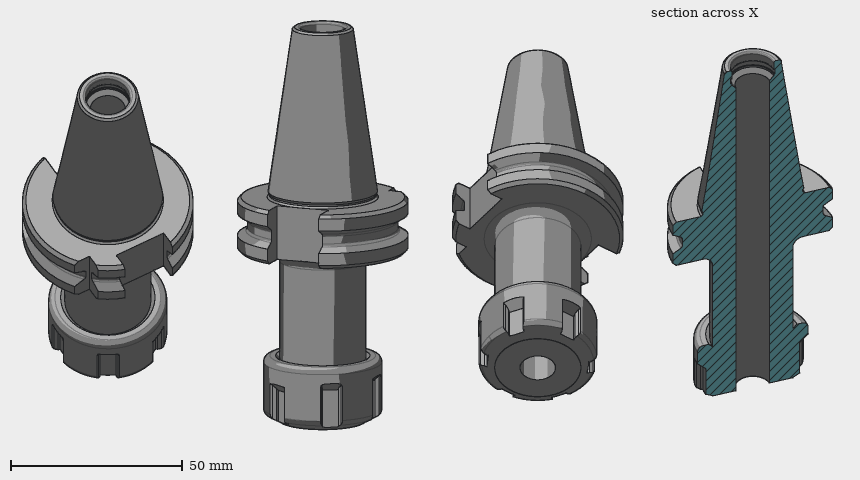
import cadquery as cq
import math


total_height = 117.8
flange_bottom = 50.9
flange_thickness = 16.0
flange_top = flange_bottom + flange_thickness
flange_middle = flange_bottom + flange_thickness / 2

neck_height = 1.8
taper_slope = 7 / 48
taper_big_radius = 16.0
taper_big_z = flange_top + neck_height
taper_small_radius = taper_big_radius - taper_slope * (total_height - taper_big_z)
taper_tip_chamfer = 0.6

neck_radius = 15.7
neck_chamfer_height = 0.7
neck_flare = 0.6

flange_radius = 25.0
flange_chamfer = 1.1
groove_root_radius = 22.0
groove_mouth = 6.7
groove_wall_angle = 30.0
groove_root_fillet = 1.0

drive_slot_width = 16.0
drive_slot_left_floor = 16.0
drive_slot_right_floor = 18.6
notch_corner = 15.0

shank_radius = 12.6
shank_fillet = 3.1

nut_radius = 17.3
nut_height = 19.4
nut_top_fillet = 1.9
nut_bottom_radius = 12.4
nut_cone_angle = 27.0
nut_cone_fillet = 1.8
nut_bore_chamfer = 1.2

wrench_slot_count = 6
wrench_slot_spacing = 360 / wrench_slot_count
wrench_floor_radius = 14.7
wrench_step_radius = 15.4
wrench_lip_radius = 16.5
wrench_floor_width = 4.7
wrench_lip_width = 5.7
wrench_mouth_width = 6.6
wrench_ceiling_rise = 2.5
tall_slot_height = 14.8
tall_slot_corner = 1.5
low_slot_height = 13.1
low_slot_corner = 0.6

bore_radius = 5.2
counterbore_radius = 6.5
counterbore_depth = 5.4
bore_cone_depth = 6.8
mouth_fillet = 0.7
relief_radius = 6.8
relief_start_depth = 3.2
relief_end_depth = 4.8

clearance = 1.2


def revolved(points):
    """Solid of revolution about Z from (radius, height) points."""
    return cq.Workplane("XZ").polyline(points).close().revolve(360, (0, 0), (0, 1))


def make_taper():
    tip_radius = taper_small_radius - taper_tip_chamfer
    tip_z = total_height - taper_tip_chamfer
    return revolved([
        (0, flange_top),
        (neck_radius + neck_flare, flange_top),
        (neck_radius, flange_top + neck_flare),
        (neck_radius, taper_big_z - neck_chamfer_height),
        (taper_big_radius, taper_big_z),
        (taper_small_radius + taper_slope * taper_tip_chamfer, tip_z),
        (tip_radius, total_height),
        (0, total_height),
    ])


def make_groove():
    """V-groove ring with a rounded root."""
    mouth_radius = flange_radius + clearance
    slope = math.tan(math.radians(groove_wall_angle))
    mouth_half = groove_mouth / 2 + clearance * slope
    root_half = groove_mouth / 2 - (flange_radius - groove_root_radius) * slope
    ring = revolved([
        (groove_root_radius, flange_middle - root_half),
        (mouth_radius, flange_middle - mouth_half),
        (mouth_radius, flange_middle + mouth_half),
        (groove_root_radius, flange_middle + root_half),
    ])
    return ring.edges(cq.selectors.RadiusNthSelector(0)).fillet(groove_root_fillet)


def flange_cutter(x_start, y_start, x_size, y_size):
    """Block through the full flange thickness, from its low X and Y corner."""
    return (
        cq.Workplane("XY", origin=(x_start, y_start, flange_bottom))
        .box(x_size, y_size, flange_thickness, centered=False)
    )


def make_flange():
    flange = (
        cq.Workplane("XY", origin=(0, 0, flange_bottom))
        .circle(flange_radius)
        .extrude(flange_thickness)
        .edges()
        .chamfer(flange_chamfer)
        .cut(make_groove())
    )
    reach = flange_radius
    slot_start = -drive_slot_width / 2
    for x_start in (-drive_slot_left_floor - reach, drive_slot_right_floor):
        flange = flange.cut(flange_cutter(x_start, slot_start, reach, drive_slot_width))
    return flange.cut(flange_cutter(notch_corner, -notch_corner - reach, reach, reach))


def make_shank():
    """Cylinder from the nut face to the flange, blended into the flange."""
    return (
        cq.Workplane("XZ")
        .lineTo(shank_radius, 0)
        .lineTo(shank_radius, flange_bottom - shank_fillet)
        .radiusArc((shank_radius + shank_fillet, flange_bottom), shank_fillet)
        .lineTo(0, flange_bottom)
        .close()
        .revolve(360, (0, 0), (0, 1))
    )


def wrench_slot(angle, height, corner):
    """Cutter for one slot with flaring walls and a sloping ceiling, open at the bottom."""
    mouth_radius = math.sqrt(nut_radius**2 - (wrench_mouth_width / 2) ** 2)
    outer_radius = nut_radius + clearance
    half_section = [
        (wrench_floor_radius, wrench_floor_width / 2),
        (wrench_step_radius, wrench_floor_width / 2),
        (wrench_lip_radius, wrench_lip_width / 2),
        (mouth_radius, wrench_mouth_width / 2),
        (outer_radius, wrench_mouth_width / 2),
    ]
    mirrored_half = [(x, -y) for x, y in reversed(half_section)]
    walls = cq.Workplane("XY").polyline(half_section + mirrored_half).close().extrude(height)

    ceiling_slope = wrench_ceiling_rise / (nut_radius - wrench_floor_radius)
    ceiling = (
        cq.Workplane("XZ")
        .polyline([
            (wrench_floor_radius, 0),
            (outer_radius, 0),
            (outer_radius, height + clearance * ceiling_slope),
            (wrench_floor_radius, height - wrench_ceiling_rise),
        ])
        .close()
        .extrude(wrench_mouth_width / 2, both=True)
    )
    rounded_mouth = (
        cq.Workplane("YZ")
        .center(0, height / 2)
        .rect(wrench_mouth_width, height)
        .extrude(outer_radius)
        .edges("|X and >Z")
        .fillet(corner)
    )
    cutter = walls.intersect(ceiling).intersect(rounded_mouth)
    return cutter.rotate((0, 0, 0), (0, 0, 1), angle)


def make_nut():
    cone_height = (nut_radius - nut_bottom_radius) * math.tan(math.radians(nut_cone_angle))
    nut = revolved([
        (0, 0),
        (nut_bottom_radius, 0),
        (nut_radius, cone_height),
        (nut_radius, nut_height),
        (0, nut_height),
    ])
    nut = nut.edges(">Z").fillet(nut_top_fillet)
    nut = nut.edges(cq.selectors.RadiusNthSelector(-1)).edges("<Z").fillet(nut_cone_fillet)
    bore_chamfer = revolved([
        (0, nut_height - nut_bore_chamfer),
        (shank_radius, nut_height - nut_bore_chamfer),
        (shank_radius + nut_bore_chamfer, nut_height),
        (0, nut_height),
    ])
    nut = nut.cut(bore_chamfer)
    for index in range(wrench_slot_count):
        angle = (index + 0.5) * wrench_slot_spacing
        if angle < 180:
            nut = nut.cut(wrench_slot(angle, low_slot_height, low_slot_corner))
        else:
            nut = nut.cut(wrench_slot(angle, tall_slot_height, tall_slot_corner))
    return nut


def make_bore():
    """Through bore with a cone up to a relieved counterbore and a rounded mouth."""
    return (
        cq.Workplane("XZ")
        .lineTo(bore_radius, 0)
        .lineTo(bore_radius, total_height - bore_cone_depth)
        .lineTo(counterbore_radius, total_height - counterbore_depth)
        .lineTo(counterbore_radius, total_height - relief_end_depth)
        .lineTo(relief_radius, total_height - relief_end_depth)
        .lineTo(relief_radius, total_height - relief_start_depth)
        .lineTo(counterbore_radius, total_height - relief_start_depth)
        .lineTo(counterbore_radius, total_height - mouth_fillet)
        .radiusArc((counterbore_radius + mouth_fillet, total_height), mouth_fillet)
        .lineTo(0, total_height)
        .close()
        .revolve(360, (0, 0), (0, 1))
    )


body = make_shank().union(make_nut()).union(make_flange()).union(make_taper())
result = body.cut(make_bore())